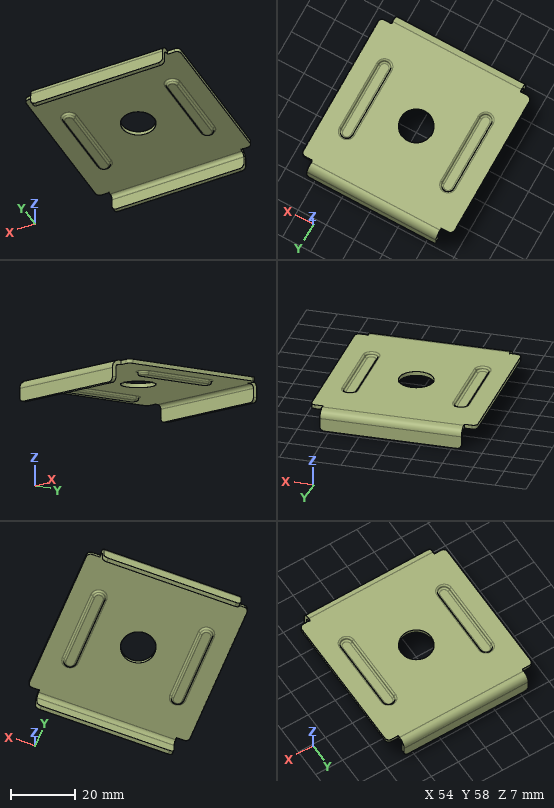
import cadquery as cq
import math

plate_width = 54.0
overall_length = 58.0
overall_height = 7.0
thickness = 1.4
corner_radius = 1.5

notch_width = 4.0
notch_length = 3.5
bend_outer_radius = 2.7
bend_inner_radius = bend_outer_radius - thickness
flange_width = plate_width - 2 * notch_width
plate_length = overall_length - 2 * notch_length

hole_diameter = 11.0
bead_offset = 18.05
bead_straight = 24.2
bead_wall_radius = 2.05
bead_depth = 1.2
bead_curve_radius = bead_depth / 2


def flat_plate():
    return (
        cq.Workplane("XY")
        .rect(plate_width, plate_length)
        .extrude(-thickness)
        .edges("|Z")
        .fillet(corner_radius)
    )


def bent_channel():
    """Central strip with both ends bent down and rounded lower corners."""
    half = overall_length / 2
    outer = (
        cq.Workplane("XY")
        .box(flange_width, overall_length, overall_height, centered=(True, True, False))
        .translate((0, 0, -overall_height))
        .edges("|X and >Z")
        .fillet(bend_outer_radius)
    )
    inner = (
        cq.Workplane("XY")
        .box(flange_width, 2 * (half - thickness), overall_height, centered=(True, True, False))
        .translate((0, 0, -overall_height - thickness))
        .edges("|X and >Z")
        .fillet(bend_inner_radius)
    )
    return outer.cut(inner).edges("|Y and <Z").fillet(corner_radius)


def bead_form():
    """Stadium with S-curved walls, hanging from Z = 0."""
    rim = bead_wall_radius + bead_curve_radius
    floor = bead_wall_radius - bead_curve_radius
    arc_offset = bead_curve_radius * (1 - math.sqrt(0.5))

    def half_profile(workplane):
        return (
            workplane
            .lineTo(rim, 0)
            .threePointArc(
                (bead_wall_radius + arc_offset, -arc_offset),
                (bead_wall_radius, -bead_curve_radius),
            )
            .threePointArc(
                (bead_wall_radius - arc_offset, -bead_depth + arc_offset),
                (floor, -bead_depth),
            )
            .lineTo(0, -bead_depth)
            .close()
        )

    half_straight = half_profile(cq.Workplane("XZ")).extrude(bead_straight / 2, both=True)
    form = half_straight.union(half_straight.mirror("YZ"))
    end = half_profile(cq.Workplane("XZ")).revolve(360, (0, 0), (0, 1))
    for side in (-1, 1):
        form = form.union(end.translate((0, side * bead_straight / 2, 0)))
    return form.clean()


body = flat_plate().union(bent_channel())

bead = bead_form()
for side in (-1, 1):
    recess = bead.translate((side * bead_offset, 0, 0))
    body = body.union(recess.translate((0, 0, -thickness))).cut(recess)

hole = cq.Workplane("XY").circle(hole_diameter / 2).extrude(-thickness)
result = body.cut(hole)